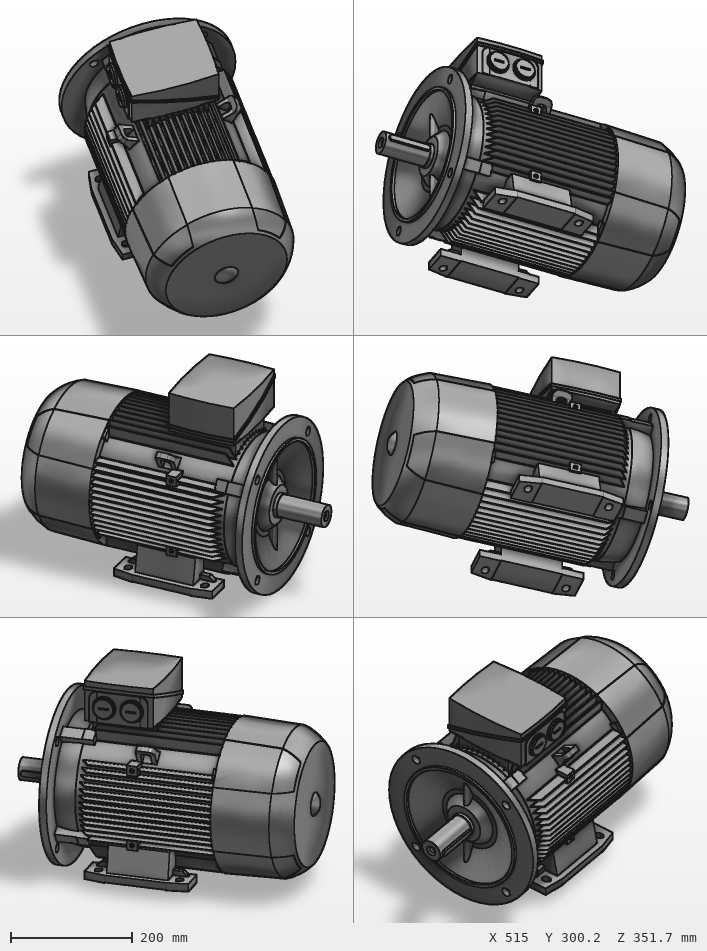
import cadquery as cq
import math


flange_face = 80.0
spigot_length = 4.5
spigot_face = flange_face - spigot_length
flange_thickness = 13.0
flange_back = flange_face + flange_thickness
bell_end = 131.0
cowl_start = 370.0
cowl_shoulder = 470.0
cowl_end = 506.0
overall_length = 515

shaft_radius = 19.0
shaft_collar_radius = 20.5
flange_radius = 150.1
spigot_radius = 115.0
spigot_bore_radius = 109.5
bell_front_radius = 109.5
bell_middle_radius = 114.0
bell_end_radius = 115.5
body_radius = 114.0
cowl_radius = 131.0
cowl_shoulder_radius = 127.5
cowl_end_radius = 104.5
cowl_curve_x = 490.0
cowl_curve_radius = 118.5
cap_radius = 20.0

collar_start = 81.5
key_start = 5
key_width = 10.0
key_top = 22.5
center_hole_radius = 5.5
center_hole_mouth_radius = 9.0
center_hole_mouth_depth = 3.0
center_hole_depth = 20.5

bolt_circle_radius = 132.5
bolt_hole_diameter = 15.5
recess_floor = 103
recess_floor_radius = 56.5
hub_face = 87.5
hub_radius = 48.0
hub_face_radius = 34.0
web_radius = 5.5
web_axis_x = 96.5
web_inner_radius = 33.5
web_outer_radius = 86.5

fin_count = 13
fin_pitch = 11.0
fin_thickness = 1.5
fin_tip_radius = 130.0
fin_start = 137.0
fin_full_height_start = 151.0
fin_root = 77

cowl_panel_offset = 56.0
cowl_panel_end = 501.5
cowl_panel_depth = 1.0

lug_width = 20.5
lug_outer_radius = 127.0
bell_lug_outer_radius = 126.0
lug_root = 92.5
bell_lug_end = 151.0
bell_lug_angle = 55
cowl_lug_start = 365.0
cowl_lug_angle = 90 - bell_lug_angle

eye_center = 246.5
eye_width = 33.5
eye_hole_width = 17.5
eye_top = 146.0
eye_hole_top = 134
eye_thickness = 10.5
eye_base_thickness = 23.0
eye_corner_radius = 10.5

pad_start = 219.0
pad_length = 18.5
pad_height = 17.5
pad_center_z = 65.5
pad_face_y = 113.0
pad_root_y = 87.5
pad_hole_diameter = 7.0
pad_hole_depth = 5

box_center_x = 195.0
box_length = 118.5
box_end_bulge = 3.5
box_front = -84.0
box_back = 71.0
box_side_bulge = 2.5
box_bottom = 132.0
box_top = 201.6
seam_front_z = 188.5
seam_back_z = 136.0
seam_height = 5.5
seam_lip = 1.5
neck_start = 140.0
neck_length = 110.5
neck_half_width = 51.5
neck_bottom = 92.5
skirt_height = 3.5
panel_length = 101.5
panel_top = 186.0
panel_corner_radius = 13.5
panel_thickness = 1.0
plug_spacing = 48.0
plug_z = 159.5
plug_radius = 19.3
plug_face_radius = 17.0
plug_collar_y = -88.5
plug_face_y = -92.0
plug_slot_length = 16.5
plug_slot_width = 2.0
plug_slot_depth = 1.5

foot_center_x = 239.0
foot_length = 179.5
foot_bottom = -131.5
foot_top = -117.5
foot_outer_y = 128.0
foot_end_y = 121.5
foot_inner_y = 77
foot_hole_spacing = 140.0
foot_hole_y = 108
foot_hole_diameter = 12.0
foot_hole_length = 16.0
foot_relief = 1.0
pedestal_length = 106.0
pedestal_top = -71.0
pedestal_top_y = 108.5
pedestal_foot_y = 117.5
rib_length = 27.0
rib_height = 9.0
rib_slope = 10.5
rib_width = 9.5
rib_y = 87.5


def turned(outline):
    """Revolve a closed XY outline about the shaft axis."""
    return outline.close().revolve(360, (0, 0, 0), (1, 0, 0))


def cylinder_x(start, end, radius):
    return cq.Workplane("YZ", origin=(start, 0, 0)).circle(radius).extrude(end - start)


def box_between(low, high):
    size = [b - a for a, b in zip(low, high)]
    return cq.Workplane("XY").box(*size, centered=False).translate(low)


def turn_about_shaft(shape, angle):
    return shape.rotate((0, 0, 0), (1, 0, 0), angle)


def add_four(solid, shape, first_angle=0):
    for quarter in range(4):
        solid = solid.union(turn_about_shaft(shape, first_angle + 90 * quarter))
    return solid


def make_flange_and_bell():
    profile = (
        cq.Workplane("XY")
        .moveTo(hub_face, 0)
        .lineTo(hub_face, hub_face_radius)
        .lineTo(recess_floor, hub_radius)
        .lineTo(recess_floor, recess_floor_radius)
        .lineTo(flange_face, spigot_bore_radius)
        .lineTo(spigot_face, spigot_bore_radius)
        .lineTo(spigot_face, spigot_radius)
        .lineTo(flange_face, spigot_radius)
        .lineTo(flange_face, flange_radius)
        .lineTo(flange_back, flange_radius)
        .lineTo(flange_back, bell_front_radius)
        .threePointArc(((flange_back + bell_end) / 2, bell_middle_radius), (bell_end, bell_end_radius))
        .lineTo(bell_end, 0)
    )
    bolt_holes = (
        cq.Workplane("YZ", origin=(flange_face, 0, 0))
        .polarArray(bolt_circle_radius, 45, 360, 4)
        .circle(bolt_hole_diameter / 2)
        .extrude(flange_thickness)
    )
    return turned(profile).cut(bolt_holes)


def make_web():
    """Round-fronted radial web that bridges the hub and the wall of the flange recess."""
    return (
        cq.Workplane("XY", origin=(web_axis_x, 0, web_inner_radius))
        .circle(web_radius)
        .extrude(web_outer_radius - web_inner_radius)
        .union(
            box_between(
                (web_axis_x, -web_radius, web_inner_radius),
                (recess_floor + web_radius, web_radius, web_outer_radius),
            )
        )
    )


def make_shaft():
    shaft = cylinder_x(0, bell_end, shaft_radius)
    collar = cylinder_x(collar_start, hub_face, shaft_collar_radius)
    hole = cylinder_x(0, center_hole_depth, center_hole_radius)
    mouth = turned(
        cq.Workplane("XY")
        .lineTo(0, center_hole_mouth_radius)
        .lineTo(center_hole_mouth_depth, center_hole_radius)
        .lineTo(center_hole_mouth_depth, 0)
    )
    key_length = flange_face - key_start
    key = (
        cq.Workplane("XZ")
        .center(key_start + key_length / 2, 0)
        .slot2D(key_length, key_width)
        .extrude(key_top)
    )
    return shaft.cut(hole).cut(mouth).union(collar).union(key)


def make_fins():
    """One group of parallel fins on the top side, trimmed to the round fin envelope."""
    envelope = turned(
        cq.Workplane("XY")
        .moveTo(fin_start, 0)
        .lineTo(fin_start, body_radius)
        .lineTo(fin_full_height_start, fin_tip_radius)
        .lineTo(cowl_start, fin_tip_radius)
        .lineTo(cowl_start, 0)
    )
    fins = (
        cq.Workplane("XY", origin=((fin_start + cowl_start) / 2, 0, fin_root))
        .rarray(5, fin_pitch, 1, fin_count)
        .rect(cowl_start - fin_start, fin_thickness)
        .extrude(fin_tip_radius - fin_root)
    )
    return fins.intersect(envelope)


def make_lug(start, end, outer_radius):
    return box_between((start, -lug_width / 2, lug_root), (end, lug_width / 2, outer_radius))


def make_cowl_shell(inset):
    """Tapered cowl with a rounded rear shoulder, its outer surface lowered by an inset."""
    return turned(
        cq.Workplane("XY")
        .moveTo(cowl_start, 0)
        .lineTo(cowl_start, cowl_radius - inset)
        .lineTo(cowl_shoulder, cowl_shoulder_radius - inset)
        .threePointArc(
            (cowl_curve_x, cowl_curve_radius - inset),
            (cowl_end, cowl_end_radius - inset),
        )
        .lineTo(cowl_end, 0)
    )


def make_cowl():
    corner = box_between(
        (cowl_start, cowl_panel_offset, cowl_panel_offset),
        (cowl_panel_end, cowl_radius, cowl_radius),
    )
    panel_cut = corner.cut(make_cowl_shell(cowl_panel_depth))
    cowl = make_cowl_shell(0)
    for quarter in range(4):
        cowl = cowl.cut(turn_about_shaft(panel_cut, 90 * quarter))
    return cowl.union(make_cap())


def make_cap():
    """Domed cap at the rear end of the cowl."""
    cap_bulge = overall_length - cowl_end
    cap_sphere_radius = (cap_radius**2 + cap_bulge**2) / (2 * cap_bulge)
    mid_angle = math.asin(cap_radius / cap_sphere_radius) / 2
    cap_middle = (
        overall_length - cap_sphere_radius * (1 - math.cos(mid_angle)),
        cap_sphere_radius * math.sin(mid_angle),
    )
    return turned(
        cq.Workplane("XY")
        .moveTo(cowl_shoulder, 0)
        .lineTo(cowl_shoulder, cap_radius)
        .lineTo(cowl_end, cap_radius)
        .threePointArc(cap_middle, (overall_length, 0))
    )


def make_lifting_eye():
    """Arched eye standing on the top side, to be turned onto a corner of the body."""
    plate = (
        cq.Workplane("YZ", origin=(eye_center, 0, 0))
        .moveTo(-eye_base_thickness / 2, lug_root)
        .lineTo(eye_base_thickness / 2, lug_root)
        .lineTo(eye_base_thickness / 2, body_radius)
        .lineTo(eye_thickness / 2, eye_hole_top)
        .lineTo(eye_thickness / 2, eye_top)
        .lineTo(-eye_thickness / 2, eye_top)
        .lineTo(-eye_thickness / 2, eye_hole_top)
        .lineTo(-eye_base_thickness / 2, body_radius)
        .close()
        .extrude(eye_width / 2, both=True)
        .edges("|Y and >Z")
        .fillet(eye_corner_radius)
    )
    hole = (
        cq.Workplane("XZ", origin=(eye_center, 0, 0))
        .center(0, (eye_hole_top + body_radius) / 2)
        .rect(eye_hole_width, eye_hole_top - body_radius)
        .extrude(eye_base_thickness, both=True)
        .edges("|Y and >Z")
        .fillet(eye_hole_width / 3)
    )
    return plate.cut(hole)


def make_earthing_pad():
    pad = box_between(
        (pad_start, -pad_face_y, pad_center_z - pad_height / 2),
        (pad_start + pad_length, -pad_root_y, pad_center_z + pad_height / 2),
    )
    return pad.faces("<Y").workplane(centerOption="CenterOfMass").hole(pad_hole_diameter, pad_hole_depth)


def box_outline(margin):
    """Terminal box plan: a rectangle with four gently bulged sides, grown by a margin."""
    left = box_center_x - box_length / 2 - margin
    right = box_center_x + box_length / 2 + margin
    front = box_front + box_side_bulge - margin
    back = box_back - box_side_bulge + margin
    middle_y = (front + back) / 2
    return (
        cq.Workplane("XY", origin=(0, 0, box_bottom))
        .moveTo(left, front)
        .threePointArc((box_center_x, front - box_side_bulge), (right, front))
        .threePointArc((right + box_end_bulge, middle_y), (right, back))
        .threePointArc((box_center_x, back + box_side_bulge), (left, back))
        .threePointArc((left - box_end_bulge, middle_y), (left, front))
        .close()
    )


def make_plug(x):
    collar = (
        cq.Workplane("XZ", origin=(x, box_front, plug_z))
        .circle(plug_radius)
        .extrude(box_front - plug_collar_y)
    )
    head = (
        cq.Workplane("XZ", origin=(x, plug_collar_y, plug_z))
        .circle(plug_face_radius)
        .extrude(plug_collar_y - plug_face_y)
    )
    slot = (
        cq.Workplane("XZ", origin=(x, plug_face_y + plug_slot_depth, plug_z))
        .rect(plug_slot_length, plug_slot_width)
        .extrude(plug_slot_depth)
    )
    return collar.union(head).cut(slot)


def make_terminal_box():
    height = box_top - box_bottom
    body = box_outline(0).extrude(height)
    seam_band = (
        cq.Workplane("YZ")
        .moveTo(box_front - 5, seam_front_z)
        .lineTo(box_back + 5, seam_back_z)
        .lineTo(box_back + 5, seam_back_z + seam_height)
        .lineTo(box_front - 5, seam_front_z + seam_height)
        .close()
        .extrude(overall_length)
    )
    lip = box_outline(seam_lip).extrude(height).intersect(seam_band)
    skirt_front = box_front + box_side_bulge
    skirt_back = box_back - box_side_bulge
    skirt = (
        cq.Workplane("XY", origin=(box_center_x, 0, box_bottom))
        .center(0, (skirt_front + skirt_back) / 2)
        .rect(box_length, skirt_back - skirt_front)
        .workplane(offset=-skirt_height)
        .center(neck_start + neck_length / 2 - box_center_x, -(skirt_front + skirt_back) / 2)
        .rect(neck_length, 2 * neck_half_width)
        .loft(ruled=True)
    )
    neck = box_between(
        (neck_start, -neck_half_width, neck_bottom),
        (neck_start + neck_length, neck_half_width, box_bottom),
    )
    panel = (
        box_between(
            (box_center_x - panel_length / 2, box_front - panel_thickness, box_bottom),
            (box_center_x + panel_length / 2, box_front + panel_thickness, panel_top),
        )
        .edges("|Y and >Z")
        .fillet(panel_corner_radius)
    )
    box = body.union(lip).union(skirt).union(neck).union(panel)
    for side in (-1, 1):
        box = box.union(make_plug(box_center_x + side * plug_spacing / 2))
    return box


def make_foot():
    """Foot on the -Y side: tapered plate, sloped pedestal and a low rib past each pedestal end."""
    half_length = foot_length / 2
    half_pedestal = pedestal_length / 2
    height = foot_top - foot_bottom
    plate = (
        cq.Workplane("XY", origin=(foot_center_x, 0, foot_bottom))
        .polyline([
            (-half_length, -foot_inner_y),
            (-half_length, -foot_end_y),
            (-half_pedestal, -foot_outer_y),
            (half_pedestal, -foot_outer_y),
            (half_length, -foot_end_y),
            (half_length, -foot_inner_y),
        ])
        .close()
        .extrude(height)
    )
    pedestal = (
        cq.Workplane("YZ", origin=(foot_center_x, 0, 0))
        .polyline([
            (-foot_inner_y, pedestal_top),
            (-pedestal_top_y, pedestal_top),
            (-pedestal_foot_y, foot_top),
            (-foot_inner_y, foot_top),
        ])
        .close()
        .extrude(half_pedestal, both=True)
    )
    rib_reach = half_pedestal + rib_length
    ribs = (
        cq.Workplane("XZ", origin=(foot_center_x, -rib_y, foot_top))
        .moveTo(-rib_reach, 0)
        .lineTo(-rib_reach + rib_slope, rib_height)
        .lineTo(rib_reach - rib_slope, rib_height)
        .lineTo(rib_reach, 0)
        .close()
        .extrude(rib_width / 2, both=True)
        .intersect(
            cq.Workplane("XY", origin=(foot_center_x, -rib_y, foot_top))
            .slot2D(2 * rib_reach, rib_width)
            .extrude(rib_height)
        )
    )
    holes = (
        cq.Workplane("XY", origin=(foot_center_x, -foot_hole_y, foot_bottom))
        .rarray(foot_hole_spacing, 5, 2, 1)
        .slot2D(foot_hole_length, foot_hole_diameter, 90)
        .extrude(height)
    )
    relief = box_between(
        (foot_center_x - half_pedestal, -foot_outer_y, foot_bottom),
        (foot_center_x + half_pedestal, -foot_inner_y, foot_bottom + foot_relief),
    )
    return plate.union(pedestal).union(ribs).cut(holes).cut(relief)


result = make_flange_and_bell()
result = result.union(cylinder_x(bell_end, cowl_start, body_radius))
result = result.union(make_cowl())
for web_angle in (0, 180):
    result = result.union(turn_about_shaft(make_web(), web_angle))
result = result.union(make_shaft())

result = add_four(result, make_fins())
bell_lug = make_lug(flange_back, bell_end, bell_lug_outer_radius)
body_lug = make_lug(bell_end, bell_lug_end, lug_outer_radius)
cowl_lug = make_lug(cowl_lug_start, cowl_start, lug_outer_radius)
result = add_four(result, bell_lug.union(body_lug), 90 - bell_lug_angle)
result = add_four(result, cowl_lug, 90 - cowl_lug_angle)

for corner_angle in (-45, 45):
    result = result.union(turn_about_shaft(make_lifting_eye(), corner_angle))
earthing_pad = make_earthing_pad()
foot = make_foot()
for mirrored_pad in (earthing_pad, earthing_pad.mirror("XY")):
    result = result.union(mirrored_pad).union(mirrored_pad.mirror("XZ"))
result = result.union(foot).union(foot.mirror("XZ"))
result = result.union(make_terminal_box())